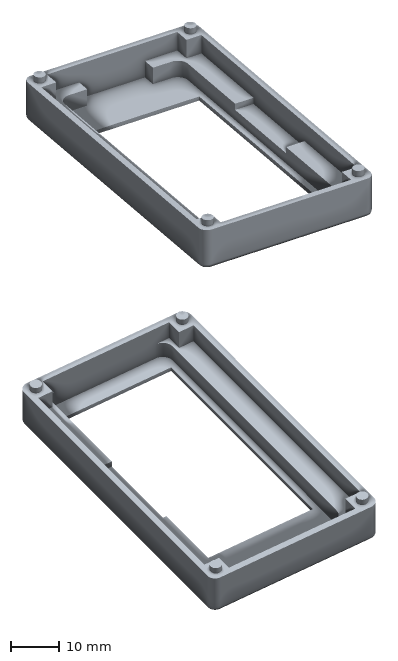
import cadquery as cq

length = 71.4
width = 42.0
total_height = 11.0
pin_height = 1.5
body_height = total_height - pin_height
corner_radius = 2.0
bottom_radius = 1.0
wall = 1.4

floor_thickness = 1.0
ledge_level = 5.0
post_reach = 5.1

pocket_left_inset = 4.6
pocket_width = 30.1
pocket_radius = 2.5
left_gap_width = 16.1

recess_length = 20.1
recess_depth = 1.5

window_length = 52.1
window_width = 27.3
window_offset = 4.15

pin_diameter = 2.6
pin_inset = 2.6


def block(x_min, x_max, y_min, y_max, z_min, z_max):
    """Box given by its limits along each axis."""
    size = (x_max - x_min, y_max - y_min, z_max - z_min)
    return cq.Workplane("XY").box(*size, centered=False).translate((x_min, y_min, z_min))


def outer_body():
    body = cq.Workplane("XY").box(length, width, body_height, centered=(True, True, False))
    return body.edges("|Z").fillet(corner_radius).faces("<Z").edges().fillet(bottom_radius)


def upper_cavity():
    """Open space above the ledge: a cross shape that leaves a post in each corner."""
    x_wall = length / 2 - wall
    y_wall = width / 2 - wall
    x_post = length / 2 - post_reach
    y_post = width / 2 - post_reach
    long_arm = block(-x_wall, x_wall, -y_post, y_post, ledge_level, body_height)
    wide_arm = block(-x_post, x_post, -y_wall, y_wall, ledge_level, body_height)
    return long_arm.union(wide_arm)


def ledge_pocket():
    """Rounded pocket between the ledges, with the gap that opens it to the -X wall."""
    x_wall = length / 2 - wall
    x_left = -length / 2 + pocket_left_inset
    half_width = pocket_width / 2
    pocket = block(x_left, x_wall, -half_width, half_width, floor_thickness, body_height)
    pocket = pocket.edges("|Z").fillet(pocket_radius)
    gap = block(-x_wall, x_left + pocket_radius, -left_gap_width / 2, left_gap_width / 2,
                floor_thickness, body_height)
    return pocket.union(gap)


def ledge_recess():
    return block(-recess_length / 2, recess_length / 2, 0, width / 2 - wall,
                 ledge_level - recess_depth, body_height)


def window():
    return (
        cq.Workplane("XY")
        .box(window_length, window_width, body_height, centered=(True, True, False))
        .translate((window_offset, 0, 0))
    )


def locating_pins():
    return (
        cq.Workplane("XY", origin=(0, 0, ledge_level))
        .rect(length - 2 * pin_inset, width - 2 * pin_inset, forConstruction=True)
        .vertices()
        .circle(pin_diameter / 2)
        .extrude(total_height - ledge_level)
    )


result = (
    outer_body()
    .cut(upper_cavity())
    .cut(ledge_pocket())
    .cut(ledge_recess())
    .cut(window())
    .union(locating_pins())
)